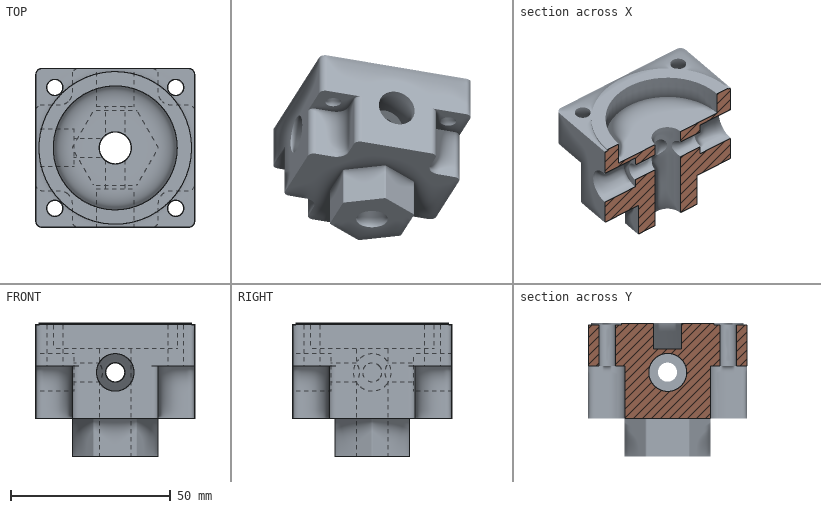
import cadquery as cq

body_width = 50.0
body_height = 29.5
corner_radius = 2.0

ring_height = 0.5
ring_diameter = 48.0
chamber_diameter = 39.0
chamber_depth = 8.0

bore_diameter = 10.0

mount_diameter = 5.0
mount_spacing = 38.0
notch_height = 16.5
notch_inner = 13.5
notch_inside_radius = 4.0

port_height = 14.5
port_diameter = 11.8
port_depth = 12.0
port_bore_diameter = 6.0

hex_height = 12.0
hex_across_flats = 23.5
hex_edge_radius = 0.6

half_width = body_width / 2
top = body_height + ring_height


def make_body():
    """Rounded square upper block over a cross-shaped lower block."""
    upper = (
        cq.Workplane("XY", origin=(0, 0, notch_height))
        .rect(body_width, body_width)
        .extrude(body_height - notch_height)
        .edges("|Z")
        .fillet(corner_radius)
    )
    arm_width = 2 * notch_inner
    arm_x = cq.Workplane("XY").rect(body_width, arm_width).extrude(notch_height)
    arm_y = cq.Workplane("XY").rect(arm_width, body_width).extrude(notch_height)
    arm_x = arm_x.edges("|Z").fillet(corner_radius)
    arm_y = arm_y.edges("|Z").fillet(corner_radius)
    inside_corners = cq.selectors.BoxSelector(
        (-notch_inner - 0.5, -notch_inner - 0.5, -0.5),
        (notch_inner + 0.5, notch_inner + 0.5, notch_height + 0.5),
    )
    lower = arm_x.union(arm_y).edges("|Z").edges(inside_corners).fillet(notch_inside_radius)
    return upper.union(lower)


def make_ring():
    return cq.Workplane("XY", origin=(0, 0, body_height)).circle(ring_diameter / 2).extrude(ring_height)


def make_neck():
    """Hexagon with two flats facing along Y."""
    return (
        cq.Workplane("XY")
        .polygon(6, hex_across_flats, circumscribed=True)
        .extrude(-hex_height)
        .edges("|Z")
        .fillet(hex_edge_radius)
        .rotate((0, 0, 0), (0, 0, 1), 90)
    )


def port_cutter(angle, bore_length):
    """Stepped port entering from the -Y face, turned by angle about Z."""
    face = cq.Workplane("XZ", origin=(0, -half_width, port_height))
    counterbore = face.circle(port_diameter / 2).extrude(-port_depth)
    bore = face.circle(port_bore_diameter / 2).extrude(-bore_length)
    return counterbore.union(bore).rotate((0, 0, 0), (0, 0, 1), angle)


def vertical_cutter(diameter, bottom):
    return cq.Workplane("XY", origin=(0, 0, bottom)).circle(diameter / 2).extrude(top - bottom)


result = make_body().union(make_ring()).union(make_neck())
result = result.cut(vertical_cutter(chamber_diameter, top - chamber_depth))
result = result.cut(vertical_cutter(bore_diameter, -hex_height))

mount_holes = (
    cq.Workplane("XY")
    .rect(mount_spacing, mount_spacing, forConstruction=True)
    .vertices()
    .circle(mount_diameter / 2)
    .extrude(body_height)
)
result = result.cut(mount_holes)

for port_angle in (0, 180, -90):
    result = result.cut(port_cutter(port_angle, half_width))